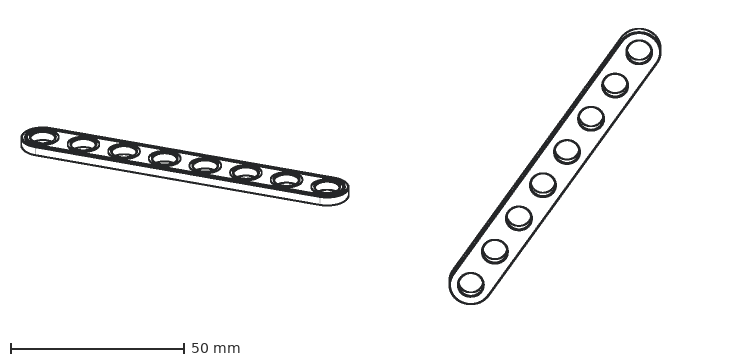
import cadquery as cq

length = 100.0
width = 12.5
thickness = 3.1
edge_chamfer = 0.3

hole_count = 8
hole_diameter = 7.0
hole_pitch = (length - width) / (hole_count - 1)

rim_width = 1.1
ring_diameter = 9.2
recess_depth = 0.2


def at_holes(plane):
    """Place a work point at every hole centre."""
    return plane.rarray(hole_pitch, 1, hole_count, 1)


def chamfered_bar():
    """Round-ended bar standing on Z = 0, with holes, chamfered along every top and bottom edge."""
    bar = cq.Workplane("XY").slot2D(length, width).extrude(thickness)
    holes = at_holes(cq.Workplane("XY")).circle(hole_diameter / 2).extrude(thickness)
    return bar.cut(holes).faces("<Z or >Z").chamfer(edge_chamfer)


def top_recess():
    """Shallow cutter for the top face that spares the rim and the rings."""
    floor = cq.Workplane("XY", origin=(0, 0, thickness - recess_depth))
    area = floor.slot2D(length - 2 * rim_width, width - 2 * rim_width).extrude(recess_depth)
    rings = at_holes(floor).circle(ring_diameter / 2).extrude(recess_depth)
    return area.cut(rings)


result = chamfered_bar().cut(top_recess())